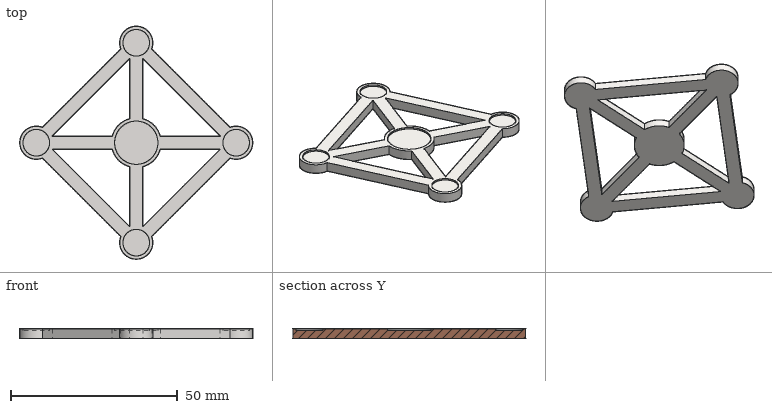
import cadquery as cq
import math

thickness = 3.0
bar_width = 4.0
pad_reach = 30.0

pad_diameter = 10.0
hub_diameter = 15.0
rim_width = 1.0
recess_depth = 0.5

hub_centre = (0, 0)
pad_centres = [(pad_reach, 0), (0, pad_reach), (-pad_reach, 0), (0, -pad_reach)]


def cross_bars():
    """Two bars crossing at the hub, each joining opposite pads."""
    span = 2 * pad_reach
    bar_along_x = cq.Workplane("XY").rect(span, bar_width).extrude(thickness)
    bar_along_y = cq.Workplane("XY").rect(bar_width, span).extrude(thickness)
    return bar_along_x.union(bar_along_y)


def perimeter_bars():
    """Square ring of bars, turned 45 degrees so its corners fall on the pads."""
    side = pad_reach * math.sqrt(2)
    outer_side = side + bar_width
    inner_side = side - bar_width
    ring = cq.Workplane("XY").rect(outer_side, outer_side).rect(inner_side, inner_side).extrude(thickness)
    return ring.rotate((0, 0, 0), (0, 0, 1), 45)


def disc(centre, diameter):
    """Full-height round pad standing on the base plane."""
    return cq.Workplane("XY").center(*centre).circle(diameter / 2).extrude(thickness)


def recess(centre, diameter):
    """Shallow round pocket in the top face, leaving a rim around the pad."""
    floor = cq.Workplane("XY").workplane(offset=thickness - recess_depth)
    return floor.center(*centre).circle(diameter / 2 - rim_width).extrude(recess_depth)


discs = [(hub_centre, hub_diameter)]
for pad_centre in pad_centres:
    discs.append((pad_centre, pad_diameter))

frame = cross_bars().union(perimeter_bars())
for centre, diameter in discs:
    frame = frame.union(disc(centre, diameter))

for centre, diameter in discs:
    frame = frame.cut(recess(centre, diameter))

result = frame